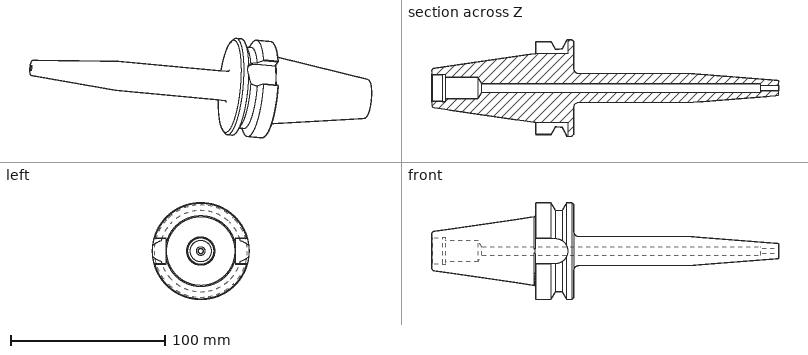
import cadquery as cq
import math


GAUGE_RADIUS = 44.45 / 2
SHANK_LENGTH = 65.4
TAPER_ON_DIAMETER = 7 / 24
SHANK_END_RADIUS = GAUGE_RADIUS - SHANK_LENGTH * TAPER_ON_DIAMETER / 2
SHANK_END_ROUND = 2.0

FLANGE_START = 2.0
FLANGE_END = 27.0
FLANGE_RADIUS = 63 / 2
LAND_CHAMFER = 0.5
FLANGE_FRONT_CHAMFER = 1.4
FLANGE_ROOT_ROUND = 0.8
GROOVE_CENTRE = 17.2
GROOVE_WIDTH = 10.2
GROOVE_DEPTH = 5.0
GROOVE_FLANK_ANGLE = 30
GROOVE_FLANK = GROOVE_DEPTH * math.tan(math.radians(GROOVE_FLANK_ANGLE))
GROOVE_FLOOR_WIDTH = GROOVE_WIDTH - 2 * GROOVE_FLANK

SLOT_WIDTH = 16.1
SLOT_FLOOR_OFFSET = 22.5
SLOT_END = 23.1

STEM_RADIUS = 19.05 / 2
STEM_ROOT_ROUND = 3.0
TIP_X = 160.0
TIP_RADIUS = 5.0
TIP_ROUND = 1.0
NOSE_HALF_ANGLE = 4.5
NOSE_START = TIP_X - (STEM_RADIUS - TIP_RADIUS) / math.tan(math.radians(NOSE_HALF_ANGLE))

MOUTH_RADIUS = 18.4 / 2
MOUTH_DEPTH = 0.7
PILOT_RADIUS = 17 / 2
PILOT_DEPTH = 7.0
RELIEF_RADIUS = 17.5 / 2
RELIEF_DEPTH = 9.0
THREAD_RADIUS = 13.84 / 2
THREAD_DEPTH = 30.0
COOLANT_RADIUS = 5.6 / 2
DRILL_POINT_HALF_ANGLE = 59
TOOL_RADIUS = 3.17 / 2
TOOL_DEPTH = 12.0

PICK_MARGIN = 0.01


def turned(profile):
    """Revolve a profile drawn as (X, radius) about the X axis."""
    return profile.close().revolve(360, (0, 0, 0), (1, 0, 0))


def make_body():
    groove_start = GROOVE_CENTRE - GROOVE_FLOOR_WIDTH / 2
    groove_end = GROOVE_CENTRE + GROOVE_FLOOR_WIDTH / 2
    groove_floor = FLANGE_RADIUS - GROOVE_DEPTH
    profile = (
        cq.Workplane("XY")
        .moveTo(-SHANK_LENGTH, 0)
        .lineTo(-SHANK_LENGTH, SHANK_END_RADIUS)
        .lineTo(0, GAUGE_RADIUS)
        .lineTo(FLANGE_START - FLANGE_ROOT_ROUND, GAUGE_RADIUS)
        .radiusArc((FLANGE_START, GAUGE_RADIUS + FLANGE_ROOT_ROUND), -FLANGE_ROOT_ROUND)
        .lineTo(FLANGE_START, FLANGE_RADIUS)
        .lineTo(groove_start - GROOVE_FLANK, FLANGE_RADIUS)
        .lineTo(groove_start, groove_floor)
        .lineTo(groove_end, groove_floor)
        .lineTo(groove_end + GROOVE_FLANK, FLANGE_RADIUS)
        .lineTo(FLANGE_END - FLANGE_FRONT_CHAMFER, FLANGE_RADIUS)
        .lineTo(FLANGE_END, FLANGE_RADIUS - FLANGE_FRONT_CHAMFER)
        .lineTo(FLANGE_END, STEM_RADIUS + STEM_ROOT_ROUND)
        .radiusArc((FLANGE_END + STEM_ROOT_ROUND, STEM_RADIUS), -STEM_ROOT_ROUND)
        .lineTo(NOSE_START, STEM_RADIUS)
        .lineTo(TIP_X, TIP_RADIUS)
        .lineTo(TIP_X, 0)
    )
    body = turned(profile)
    body = body.faces("<X").edges().fillet(SHANK_END_ROUND)
    return body.faces(">X").edges().fillet(TIP_ROUND)


def make_bore():
    rear = -SHANK_LENGTH
    point_length = (THREAD_RADIUS - COOLANT_RADIUS) / math.tan(math.radians(DRILL_POINT_HALF_ANGLE))
    profile = (
        cq.Workplane("XY")
        .moveTo(rear, 0)
        .lineTo(rear, MOUTH_RADIUS)
        .lineTo(rear + MOUTH_DEPTH, PILOT_RADIUS)
        .lineTo(rear + PILOT_DEPTH, PILOT_RADIUS)
        .lineTo(rear + PILOT_DEPTH, RELIEF_RADIUS)
        .lineTo(rear + RELIEF_DEPTH, RELIEF_RADIUS)
        .lineTo(rear + RELIEF_DEPTH, THREAD_RADIUS)
        .lineTo(rear + THREAD_DEPTH, THREAD_RADIUS)
        .lineTo(rear + THREAD_DEPTH + point_length, COOLANT_RADIUS)
        .lineTo(TIP_X - TOOL_DEPTH, COOLANT_RADIUS)
        .lineTo(TIP_X - TOOL_DEPTH, TOOL_RADIUS)
        .lineTo(TIP_X, TOOL_RADIUS)
        .lineTo(TIP_X, 0)
    )
    return turned(profile)


def make_drive_slot(side):
    """Round-ended slot, open at the flange's rear face; side is -1 or +1 along Y."""
    half_width = SLOT_WIDTH / 2
    arc_centre = SLOT_END - half_width
    return (
        cq.Workplane("XZ", origin=(0, side * SLOT_FLOOR_OFFSET, 0))
        .moveTo(0, -half_width)
        .lineTo(arc_centre, -half_width)
        .threePointArc((SLOT_END, 0), (arc_centre, half_width))
        .lineTo(0, half_width)
        .close()
        .extrude(-side * FLANGE_RADIUS)
    )


def chamfer_rear_land(holder):
    """Break the outer edges of the flange's rear land: its rear face and the tops of its slot walls."""
    land_end = GROOVE_CENTRE - GROOVE_WIDTH / 2
    wall_z = SLOT_WIDTH / 2

    def edges_inside(x_range, y_range, z_range):
        low, high = zip(sorted(x_range), sorted(y_range), sorted(z_range))
        return holder.edges(cq.selectors.BoxSelector(low, high, boundingbox=True)).vals()

    face_x = (FLANGE_START - PICK_MARGIN, FLANGE_START + PICK_MARGIN)
    land_x = (FLANGE_START - PICK_MARGIN, land_end + PICK_MARGIN)
    whole_y = (-FLANGE_RADIUS, FLANGE_RADIUS)
    picked = []
    for z_side in (-1, 1):
        beyond_wall = (z_side * (wall_z - PICK_MARGIN), z_side * (FLANGE_RADIUS + PICK_MARGIN))
        at_wall = (z_side * (wall_z - PICK_MARGIN), z_side * (wall_z + PICK_MARGIN))
        picked += edges_inside(face_x, whole_y, beyond_wall)
        for y_side in (-1, 1):
            above_floor = (y_side * (SLOT_FLOOR_OFFSET + PICK_MARGIN), y_side * FLANGE_RADIUS)
            picked += edges_inside(land_x, above_floor, at_wall)
    return holder.newObject(picked).chamfer(LAND_CHAMFER)


holder = make_body().cut(make_bore())
for slot_side in (-1, 1):
    holder = holder.cut(make_drive_slot(slot_side))
result = chamfer_rear_land(holder)